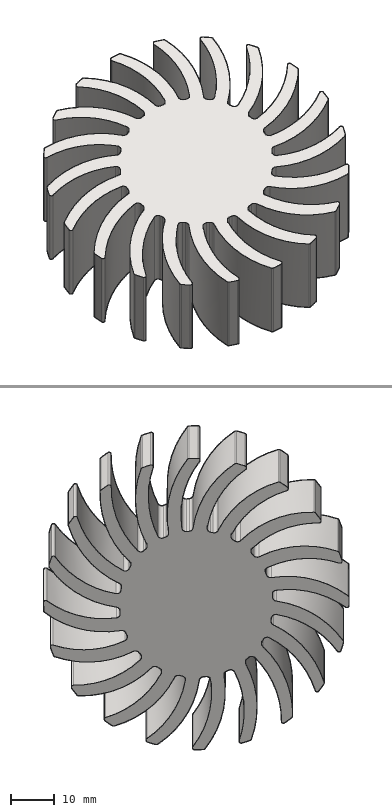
import cadquery as cq

outer_diameter = 70
height = 25.0
hub_radius = 17.55
fin_count = 20
root_fillet = 1.0
tip_fillet = 0.5

hollow_center = (-17.35, 21.9)
hollow_radius = 21.6
bulging_center = (-15.2, 21.55)
bulging_radius = 22.6

tip_radius = outer_diameter / 2
mid_fin_radius = (hub_radius + tip_radius) / 2
buried_depth = hub_radius / 2
fin_left_limit = -3.5


def disc(radius, center=(0, 0)):
    """A full-height cylinder standing on the base plane."""
    return cq.Workplane("XY").center(*center).circle(radius).extrude(height)


def curved_fin():
    """One swept-back fin, reaching from inside the hub to the tip circle."""
    crescent = disc(bulging_radius, bulging_center).cut(disc(hollow_radius, hollow_center))
    keep_zone = (
        cq.Workplane("XY")
        .center(fin_left_limit, buried_depth)
        .rect(tip_radius, tip_radius, centered=False)
        .extrude(height)
    )
    fin = crescent.intersect(keep_zone).intersect(disc(tip_radius))
    tip_zone = cq.selectors.BoxSelector(
        (-tip_radius, mid_fin_radius, 0),
        (tip_radius, outer_diameter, height),
    )
    return fin.edges("|Z").edges(tip_zone).fillet(tip_fillet)


fin = curved_fin()
body = disc(hub_radius)
for index in range(fin_count):
    body = body.union(fin.rotate((0, 0, 0), (0, 0, 1), index * 360 / fin_count))

root_reach = hub_radius + root_fillet
root_zone = cq.selectors.BoxSelector(
    (-root_reach, -root_reach, 0),
    (root_reach, root_reach, height),
)
result = body.edges("|Z").edges(root_zone).fillet(root_fillet)